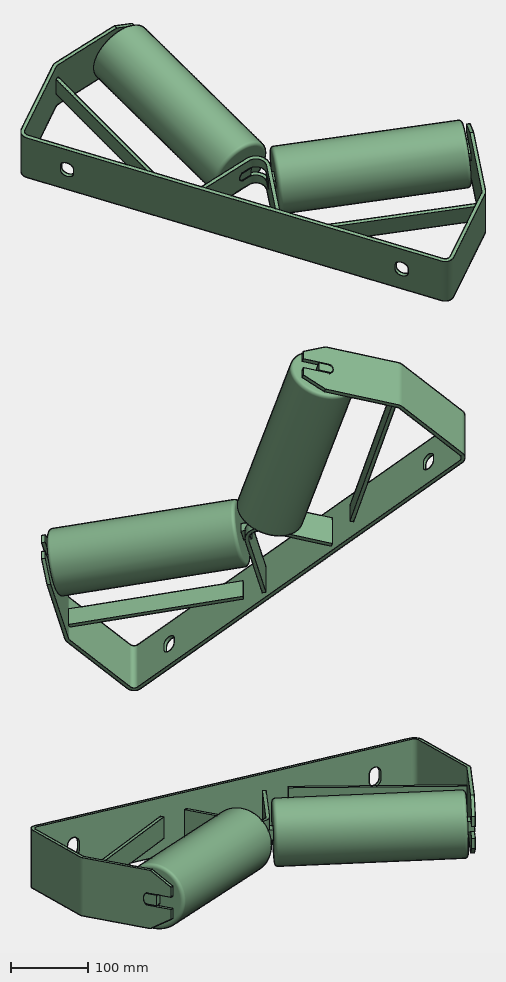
import cadquery as cq
import math

plate_thickness = 5.0

frame_length = 600.0
frame_height = 81.0
frame_bend_radius = 12.0
wing_tip_t = 92.5
wing_chamfer_along = 30.0
wing_chamfer_height = 18.0
mount_slot_x = 232.0
mount_slot_width = 18.0
mount_slot_length = 27.0

lean = math.radians(30)
wing_outer_s = -324.0
wing_inner_s = wing_outer_s + plate_thickness
leg_outer_s = -58.0
leg_inner_s = leg_outer_s + plate_thickness

roller_diameter = 89.0
roller_fillet = 5.0
roller_gap = 5.0
roller_t = 62.0
roller_dip = math.radians(1.6)
roller_start_s = wing_inner_s + roller_gap
roller_length = leg_outer_s - roller_gap - roller_start_s
shaft_radius = 9.5
shaft_flats = 14.5
shaft_overhang = roller_gap + plate_thickness

shaft_slot_width = 17.0
seat_clearance = 0.3
seat_radius = shaft_radius + seat_clearance
slot_cut_depth = 24.0
slot_cut_lead = 6.0

bracket_height = 49.0
bracket_z = -7.0
bracket_bend_radius = 19.0

brace_height = 30.0
brace_angle = math.radians(31.3)
brace_foot_x = -98.5
brace_stock_length = 240.0


def at(s, t):
    """XY point of the left half at s along the roller and t across it."""
    x = s * math.cos(lean) + t * math.sin(lean)
    y = t * math.cos(lean) - s * math.sin(lean)
    return x, y


def y_on_line(s, x):
    """Y where the line of constant s crosses x."""
    return (x * math.cos(lean) - s) / math.sin(lean)


def t_on_line(s, y):
    """t where the line of constant s crosses y."""
    return (y + s * math.sin(lean)) / math.cos(lean)


def cross_plane(s, t, z=0.0, dip=0.0):
    """Plane across the left roller line: local x runs along t, its normal along s, tilted down by dip."""
    along_x, along_y = at(1, 0)
    return cq.Plane(
        origin=(*at(s, t), z),
        xDir=(*at(0, 1), 0),
        normal=(along_x * math.cos(dip), along_y * math.cos(dip), -math.sin(dip)),
    )


def both_sides(body):
    return [body, body.mirror("YZ")]


def mirrored(points):
    return [(-x, y) for x, y in reversed(points)]


def plate(points, height, z=0.0):
    """Upright plate with the given XY outline, centred on z."""
    return cq.Workplane("XY", origin=(0, 0, z)).polyline(points).close().extrude(height / 2, both=True)


def round_corner(body, point, radius, z=0.0):
    """Round the upright edge that passes through an XY point."""
    return body.edges(cq.selectors.NearestToPointSelector((*point, z))).fillet(radius)


def cut_both_sides(body, cutter):
    for side_cutter in both_sides(cutter):
        body = body.cut(side_cutter)
    return body


def shaft_slot(outer_s, top_t, z):
    """Cutter for a slot through a plate, open at top_t and rounded at the bottom to seat the shaft."""
    start = cq.Workplane(cross_plane(outer_s - slot_cut_lead, roller_t, z))
    run = top_t - roller_t
    channel = start.center(run / 2, 0).rect(run, shaft_slot_width).extrude(slot_cut_depth)
    seat = start.circle(seat_radius).extrude(slot_cut_depth)
    seat_sides = start.rect(2 * seat_radius, shaft_slot_width).extrude(slot_cut_depth)
    return channel.union(seat.intersect(seat_sides))


def wing_corner(side):
    """Cutter for the chamfer at the upper (side = 1) or lower (side = -1) corner of a wing tip."""
    edge_z = side * frame_height / 2
    return (
        cq.Workplane(cross_plane(wing_outer_s - plate_thickness, wing_tip_t))
        .polyline([(0, edge_z), (-wing_chamfer_along, edge_z), (0, edge_z - side * wing_chamfer_height)])
        .close()
        .extrude(3 * plate_thickness)
    )


def make_frame():
    x_out = -frame_length / 2
    x_in = x_out + plate_thickness
    outer_tip = at(wing_outer_s, wing_tip_t)
    inner_tip = at(wing_inner_s, wing_tip_t)
    outer_corners = [(x_out, y_on_line(wing_outer_s, x_out)), (x_out, 0)]
    inner_corners = [(x_in, plate_thickness), (x_in, y_on_line(wing_inner_s, x_in))]

    outer = [outer_tip] + outer_corners
    inner = inner_corners + [inner_tip]
    body = plate(outer + mirrored(outer) + mirrored(inner) + inner, frame_height)
    for corner in outer_corners + mirrored(outer_corners):
        body = round_corner(body, corner, frame_bend_radius)
    for corner in inner_corners + mirrored(inner_corners):
        body = round_corner(body, corner, frame_bend_radius - plate_thickness)

    for side in (-1, 1):
        body = cut_both_sides(body, wing_corner(side))
    body = cut_both_sides(body, shaft_slot(wing_outer_s, wing_tip_t, 0))
    mount_slots = (
        cq.Workplane("XZ")
        .pushPoints([(-mount_slot_x, 0), (mount_slot_x, 0)])
        .slot2D(mount_slot_length, mount_slot_width, 90)
        .extrude(-plate_thickness)
    )
    return body.cut(mount_slots)


def make_bracket():
    foot_t = t_on_line(leg_inner_s, plate_thickness)
    outer_foot = at(leg_outer_s, foot_t)
    inner_foot = at(leg_inner_s, foot_t)
    outer_peak = (0, y_on_line(leg_outer_s, 0))
    inner_peak = (0, y_on_line(leg_inner_s, 0))

    outer = [outer_foot, outer_peak, *mirrored([outer_foot])]
    inner = [*mirrored([inner_foot]), inner_peak, inner_foot]
    body = plate(outer + inner, bracket_height, bracket_z)
    body = round_corner(body, outer_peak, bracket_bend_radius, bracket_z)
    body = round_corner(body, inner_peak, bracket_bend_radius - plate_thickness, bracket_z)
    peak_t = t_on_line(leg_outer_s, outer_peak[1])
    return cut_both_sides(body, shaft_slot(leg_outer_s, peak_t, bracket_z))


def make_roller():
    start = cq.Workplane(cross_plane(roller_start_s, roller_t, dip=roller_dip))
    drum = start.circle(roller_diameter / 2).extrude(roller_length).edges().fillet(roller_fillet)

    half_flats = shaft_flats / 2
    arc_start_x = -math.sqrt(shaft_radius**2 - half_flats**2)
    shaft = (
        start.workplane(offset=-shaft_overhang)
        .moveTo(shaft_radius, half_flats)
        .lineTo(arc_start_x, half_flats)
        .threePointArc((-shaft_radius, 0), (arc_start_x, -half_flats))
        .lineTo(shaft_radius, -half_flats)
        .close()
        .extrude(roller_length + 2 * shaft_overhang)
    )
    return drum.union(shaft)


def make_brace(frame):
    """Left brace, from the back plate up to the inside of the frame's upper bend."""
    run_x = -brace_stock_length * math.cos(brace_angle)
    run_y = brace_stock_length * math.sin(brace_angle)
    low_x, low_y = brace_foot_x, plate_thickness
    high_x = low_x + plate_thickness * math.sin(brace_angle)
    high_y = low_y + plate_thickness * math.cos(brace_angle)
    outline = [
        (low_x, low_y),
        (high_x, high_y),
        (high_x + run_x, high_y + run_y),
        (low_x + run_x, low_y + run_y),
    ]
    return plate(outline, brace_height).cut(frame).solids(">X")


frame = make_frame()
bracket = make_bracket()
rollers = both_sides(make_roller())
braces = both_sides(make_brace(frame))

result = cq.Compound.makeCompound([
    frame.val(),
    bracket.val(),
    *[roller.val() for roller in rollers],
    *[brace.val() for brace in braces],
])